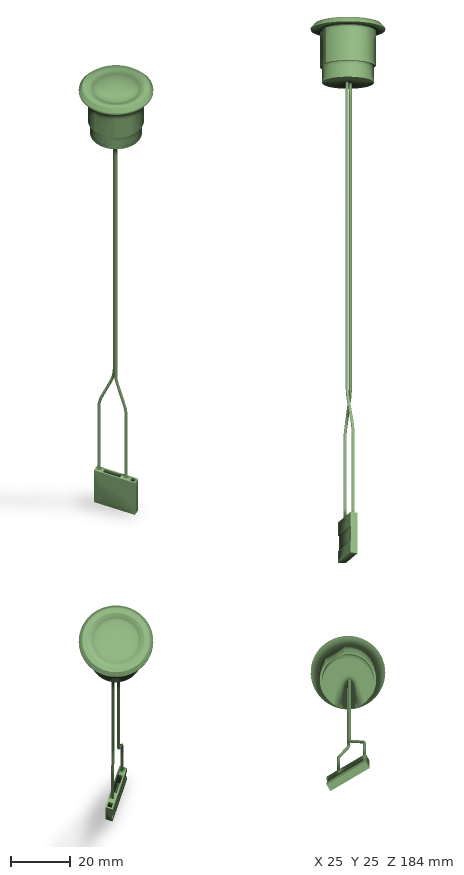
import cadquery as cq
import math

TOTAL_HEIGHT = 184.0

FLANGE_DIAMETER = 25.0
FLANGE_TOP_DIAMETER = 22.6
FLANGE_THICKNESS = 1.8
FLANGE_BEVEL_HEIGHT = 1.3
RECESS_TOP_DIAMETER = 19.1
RECESS_FLOOR_DIAMETER = 15.6
RECESS_DEPTH = 0.7
HOUSING_HEIGHT = 20.0
BARREL_DIAMETER = 17.5
SLEEVE_DIAMETER = 19.0
SLEEVE_BOTTOM_DEPTH = 14.5
NECK_DIAMETER = 17.7
NECK_HEIGHT = 0.5

CONNECTOR_WIDTH = 15.3
CONNECTOR_THICKNESS = 2.5
CONNECTOR_HEIGHT = 14.0
CONNECTOR_WALL = 0.46
POCKET_DEPTH = 9.4
WIRE_SEAT_WIDTH = 3.7
GROOVE_DEPTH = 0.28
GROOVE_BOTTOM_Z = 4.0
GROOVE_TOP_Z = 9.2

WIRE_DIAMETER = 1.0
UPPER_BEND_Z = 56.7
LOWER_BEND_Z = 43.6
LEFT_END_X = -6.5
RIGHT_END_X = 3.7
WIRES = [
    {"start_x": -1.0, "start_y": 0.5, "end_x": LEFT_END_X, "bend_radius": 13.6},
    {"start_x": 0.4, "start_y": -1.0, "end_x": RIGHT_END_X, "bend_radius": 11.2},
]

HOUSING_BOTTOM_Z = TOTAL_HEIGHT - HOUSING_HEIGHT
FLANGE_BOTTOM_Z = TOTAL_HEIGHT - FLANGE_THICKNESS
SLEEVE_BOTTOM_Z = TOTAL_HEIGHT - SLEEVE_BOTTOM_DEPTH


def disc(diameter, bottom_z, top_z):
    """Cylinder on the Z axis between two heights."""
    return cq.Workplane("XY", origin=(0, 0, bottom_z)).circle(diameter / 2).extrude(top_z - bottom_z)


def tapered_disc(bottom_diameter, top_diameter, bottom_z, top_z):
    """Truncated cone on the Z axis between two heights."""
    return (
        cq.Workplane("XY", origin=(0, 0, bottom_z))
        .circle(bottom_diameter / 2)
        .workplane(offset=top_z - bottom_z)
        .circle(top_diameter / 2)
        .loft(ruled=True)
    )


def block(x_range, y_range, z_range):
    """Box given by its lower and upper limit along each axis."""
    lower, upper = zip(x_range, y_range, z_range)
    size = [high - low for low, high in zip(lower, upper)]
    return cq.Workplane("XY").box(*size, centered=False).translate(lower)


def make_flange():
    """Flange with an upright rim, a bevelled edge and a shallow conical recess on top."""
    bevel_bottom_z = TOTAL_HEIGHT - FLANGE_BEVEL_HEIGHT
    rim = disc(FLANGE_DIAMETER, FLANGE_BOTTOM_Z, bevel_bottom_z)
    bevel = tapered_disc(FLANGE_DIAMETER, FLANGE_TOP_DIAMETER, bevel_bottom_z, TOTAL_HEIGHT)
    recess = tapered_disc(
        RECESS_FLOOR_DIAMETER, RECESS_TOP_DIAMETER, TOTAL_HEIGHT - RECESS_DEPTH, TOTAL_HEIGHT
    )
    return rim.union(bevel).cut(recess)


def make_sleeve():
    """Sleeve below a short neck, both cut by front and back flats tangent to the barrel."""
    sleeve = disc(SLEEVE_DIAMETER, SLEEVE_BOTTOM_Z, FLANGE_BOTTOM_Z - NECK_HEIGHT)
    neck = disc(NECK_DIAMETER, SLEEVE_BOTTOM_Z, FLANGE_BOTTOM_Z)
    half_width = SLEEVE_DIAMETER / 2
    half_depth = BARREL_DIAMETER / 2
    between_flats = block(
        (-half_width, half_width), (-half_depth, half_depth), (SLEEVE_BOTTOM_Z, FLANGE_BOTTOM_Z)
    )
    return sleeve.union(neck).intersect(between_flats)


def make_housing():
    barrel = disc(BARREL_DIAMETER, HOUSING_BOTTOM_Z, FLANGE_BOTTOM_Z)
    return make_flange().union(barrel).union(make_sleeve())


def bend(corner, direction_in, direction_out, radius):
    """Arc that rounds a corner of a path; returns the arc with its first and last point."""
    half_angle = direction_in.getAngle(direction_out) / 2
    tangent_length = radius * math.tan(half_angle)
    corner_gap = radius * (1 / math.cos(half_angle) - 1)
    first = corner - direction_in * tangent_length
    last = corner + direction_out * tangent_length
    middle = corner + (direction_out - direction_in).normalized() * corner_gap
    return cq.Edge.makeThreePointArc(first, middle, last), first, last


def make_wire(start_x, start_y, end_x, bend_radius):
    """Round wire: straight down, slanting out between two bends, then straight down again."""
    top = cq.Vector(start_x, start_y, HOUSING_BOTTOM_Z)
    upper_corner = cq.Vector(start_x, start_y, UPPER_BEND_Z)
    lower_corner = cq.Vector(end_x, 0, LOWER_BEND_Z)
    bottom = cq.Vector(end_x, 0, CONNECTOR_HEIGHT)

    down = cq.Vector(0, 0, -1)
    slant = (lower_corner - upper_corner).normalized()
    upper_arc, upper_first, upper_last = bend(upper_corner, down, slant, bend_radius)
    lower_arc, lower_first, lower_last = bend(lower_corner, slant, down, bend_radius)
    path = cq.Wire.assembleEdges([
        cq.Edge.makeLine(top, upper_first),
        upper_arc,
        cq.Edge.makeLine(upper_last, lower_first),
        lower_arc,
        cq.Edge.makeLine(lower_last, bottom),
    ])
    return cq.Workplane("XY", origin=top.toTuple()).circle(WIRE_DIAMETER / 2).sweep(path)


def make_connector():
    half_width = CONNECTOR_WIDTH / 2
    half_thickness = CONNECTOR_THICKNESS / 2
    across = (-half_width, half_width)
    body = block(across, (-half_thickness, half_thickness), (0, CONNECTOR_HEIGHT))

    groove = block(
        across, (half_thickness - GROOVE_DEPTH, half_thickness), (GROOVE_BOTTOM_Z, GROOVE_TOP_Z)
    )
    body = body.cut(groove)

    half_seat = WIRE_SEAT_WIDTH / 2
    half_pocket = half_thickness - CONNECTOR_WALL
    pocket_spans = [
        (LEFT_END_X + half_seat, RIGHT_END_X - half_seat),
        (RIGHT_END_X + half_seat, half_width - CONNECTOR_WALL),
    ]
    for span in pocket_spans:
        pocket = block(
            span, (-half_pocket, half_pocket), (CONNECTOR_HEIGHT - POCKET_DEPTH, CONNECTOR_HEIGHT)
        )
        body = body.cut(pocket)
    return body


housing = make_housing()
wires = [make_wire(**wire) for wire in WIRES]
connector = make_connector()

result = cq.Compound.makeCompound([
    housing.solids().val(),
    *[wire.val() for wire in wires],
    connector.solids().val(),
])